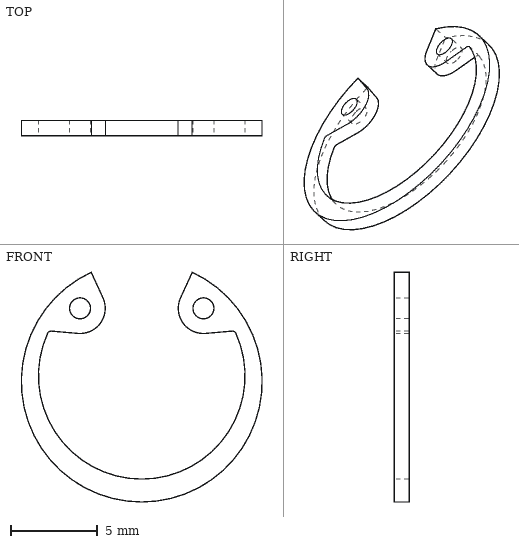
import cadquery as cq
import math

thickness = 0.89
outer_radius = 6.94
inner_radius = 5.94
inner_center_z = 0.33

tip_z = 6.3
lug_x = 3.55
lug_z = 4.22
lug_radius = 1.45
hole_radius = 0.6
lug_edge_angle = math.radians(5)
root_fillet = 0.21

tip_x = math.sqrt(outer_radius**2 - tip_z**2)


def lug_point(angle):
    """Point on the rim of the right lug, angle measured from +X."""
    return (lug_x + lug_radius * math.cos(angle), lug_z + lug_radius * math.sin(angle))


def mirrored(point):
    return (-point[0], point[1])


tip = (tip_x, tip_z)
tip_distance = math.hypot(tip_x - lug_x, tip_z - lug_z)
tip_direction = math.atan2(tip_z - lug_z, tip_x - lug_x)
end_angle = tip_direction + math.acos(lug_radius / tip_distance)

edge_start_angle = lug_edge_angle - math.pi / 2
end_point = lug_point(end_angle)
lug_middle = lug_point((end_angle + edge_start_angle + 2 * math.pi) / 2)
edge_start = lug_point(edge_start_angle)

edge_x, edge_z = math.cos(lug_edge_angle), math.sin(lug_edge_angle)
start_x, start_z = edge_start[0], edge_start[1] - inner_center_z
along = start_x * edge_x + start_z * edge_z
edge_length = -along + math.sqrt(along**2 + inner_radius**2 - start_x**2 - start_z**2)
root = (edge_start[0] + edge_length * edge_x, edge_start[1] + edge_length * edge_z)

ring = (
    cq.Workplane("XZ")
    .moveTo(*tip)
    .threePointArc((0, -outer_radius), mirrored(tip))
    .lineTo(*mirrored(end_point))
    .threePointArc(mirrored(lug_middle), mirrored(edge_start))
    .lineTo(*mirrored(root))
    .threePointArc((0, inner_center_z - inner_radius), root)
    .lineTo(*edge_start)
    .threePointArc(lug_middle, end_point)
    .close()
    .extrude(thickness / 2, both=True)
)

for side in (-1, 1):
    corner = cq.selectors.NearestToPointSelector((side * root[0], 0, root[1]))
    ring = ring.edges("|Y").edges(corner).fillet(root_fillet)

holes = (
    cq.Workplane("XZ")
    .pushPoints([(-lug_x, lug_z), (lug_x, lug_z)])
    .circle(hole_radius)
    .extrude(thickness, both=True)
)

result = ring.cut(holes)